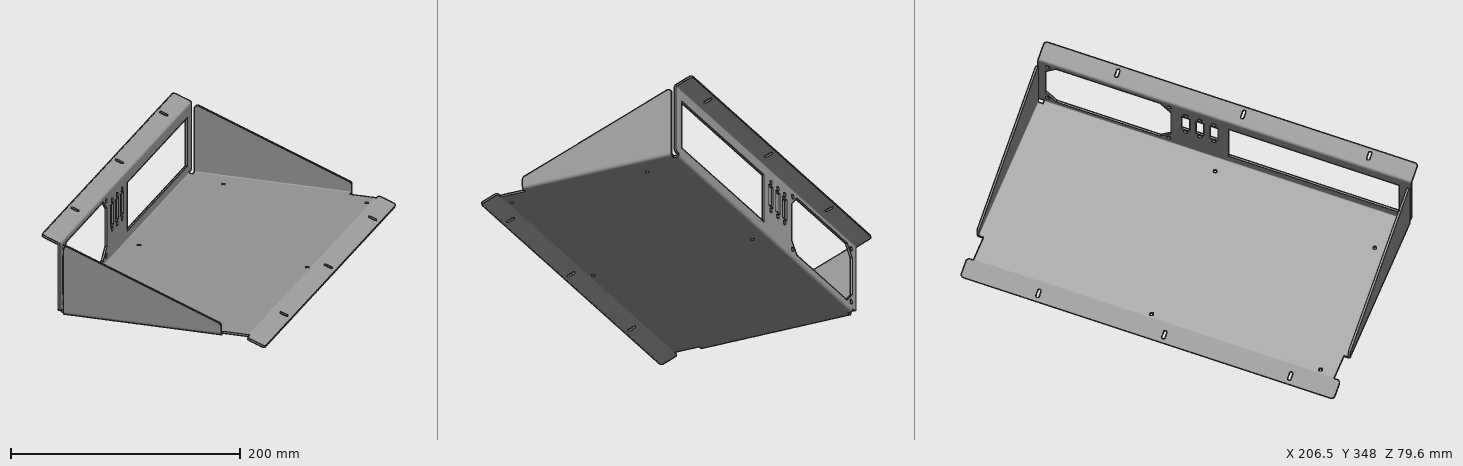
import cadquery as cq
import math

thickness = 2.0
bend_inner_radius = 0.85
bend_outer_radius = bend_inner_radius + thickness

width = 348.0
slope_angle = 20.7
slope_length = 220.0
rear_flange_length = 18.0
base_length = 174.0
corner_radius = 3.0

side_setback = 6.0
side_overlap = 1.0
side_start_x = 5.0
side_end_x = 150.0
side_corner_radius = 3.0

slot_count = 3
slot_length = 7.7
slot_width = 3.0
slot_pitch = 117.3
slot_center_y = 13.5
front_slot_x = -8.6
rear_slot_x = 183.9

board_hole_diameter = 3.2
board_pitch_x = 154.94
board_pitch_y = 157.48
board_hole_offset_x = 22.86
board_rear_x = 170.3
board_low_y = -3.5

bay_width = 159.0
bay_height = 45.5
bay_center_y = 83.3
bay_center_z = 33.4

connector_count = 3
connector_width = 7.6
connector_height = 20.1
connector_pitch = 13.2
connector_middle_y = -23.0
connector_center_z = 41.4
connector_screw_spacing = 27.0
connector_screw_diameter = 4.0

supply_width = 117.0
supply_height = 55.5
supply_corner_cut = 10.0
supply_center_y = -108.3
supply_center_z = 34.4
supply_screw_spacing_y = 113.0
supply_screw_spacing_z = 51.5
supply_screw_diameter = 4.0

half_width = width / 2
base_half_width = half_width - side_setback
slope = math.radians(slope_angle)
downhill = (math.cos(slope), -math.sin(slope))
slope_normal = (math.sin(slope), math.cos(slope))


def slope_z(x):
    """Height of the upper face of the sloping flange plane at x."""
    return thickness - (x - base_length) * math.tan(slope)


def lowered(point):
    """The point on a flange's lower face opposite a point on its upper face."""
    return (point[0] - thickness * slope_normal[0], point[1] - thickness * slope_normal[1])


def along_y(outline):
    """Extrude a closed XZ outline over the whole width."""
    return cq.Workplane("XZ").polyline(outline).close().extrude(half_width, both=True)


def bend(sheet, inner_corner, outer_corner):
    """Round both corners of one fold running along Y."""
    for corner, radius in ((inner_corner, bend_inner_radius), (outer_corner, bend_outer_radius)):
        point = (corner[0], 0, corner[1])
        sheet = sheet.edges("|Y").edges(cq.selectors.NearestToPointSelector(point)).fillet(radius)
    return sheet


def folded_sheet():
    """Front flange, front panel, base and rear flange, folded from one strip."""
    rear_tip = (
        base_length + rear_flange_length * downhill[0],
        thickness + rear_flange_length * downhill[1],
    )
    front_tip = (
        rear_tip[0] - slope_length * downhill[0],
        rear_tip[1] - slope_length * downhill[1],
    )
    drop = thickness / math.cos(slope)
    front_fold_outer = (thickness, slope_z(thickness))
    front_fold_inner = (0, slope_z(0) - drop)
    rear_fold_outer = (base_length, thickness)
    rear_fold_inner = (base_length - thickness * math.tan(slope / 2), 0)
    base_fold_outer = (0, 0)
    base_fold_inner = (thickness, thickness)
    sheet = along_y([
        front_tip,
        front_fold_outer,
        base_fold_inner,
        rear_fold_outer,
        rear_tip,
        lowered(rear_tip),
        rear_fold_inner,
        base_fold_outer,
        front_fold_inner,
        lowered(front_tip),
    ])
    sheet = bend(sheet, front_fold_inner, front_fold_outer)
    sheet = bend(sheet, base_fold_inner, base_fold_outer)
    return bend(sheet, rear_fold_inner, rear_fold_outer)


def on_outer_side(edge):
    """Whether an edge lies on one of the two full-width sides."""
    return math.isclose(abs(edge.Center().y), half_width)


def trim_base_sides(sheet):
    """Narrow the base between its two folds and round the free corners."""
    fold_reach = bend_outer_radius * math.tan(slope / 2)
    upper_end = (base_length + fold_reach * downhill[0], thickness + fold_reach * downhill[1])
    lower_end = lowered(upper_end)
    notch = along_y([
        (0, -thickness),
        (0, bend_outer_radius),
        (upper_end[0], bend_outer_radius),
        upper_end,
        lower_end,
        (lower_end[0], -thickness),
    ])
    kept = cq.Workplane("XY").box(2 * slope_length, 2 * base_half_width, 2 * slope_length)
    sheet = sheet.cut(notch.cut(kept))
    across_flange = cq.Vector(slope_normal[0], 0, slope_normal[1])
    flange_edges = sheet.edges(cq.selectors.ParallelDirSelector(across_flange))
    sheet = flange_edges.filter(on_outer_side).fillet(corner_radius)
    panel_edges = sheet.edges("|X").edges(cq.selectors.BoxSelector(
        (-thickness, -width, 0), (2 * thickness, width, 2 * bend_outer_radius)
    ))
    return panel_edges.filter(on_outer_side).fillet(corner_radius)


def side_wall():
    """Wall at +Y: a strip of base, a fold and a sloping-topped upright."""
    inner_y = half_width - thickness
    strip_y = base_half_width - side_overlap
    section = (
        cq.Workplane("YZ", origin=(side_start_x, 0, 0))
        .moveTo(strip_y, 0)
        .lineTo(half_width - bend_outer_radius, 0)
        .radiusArc((half_width, bend_outer_radius), -bend_outer_radius)
        .lineTo(half_width, slope_z(0))
        .lineTo(inner_y, slope_z(0))
        .lineTo(inner_y, bend_outer_radius)
        .radiusArc((inner_y - bend_inner_radius, thickness), bend_inner_radius)
        .lineTo(strip_y, thickness)
        .close()
        .extrude(side_end_x - side_start_x)
    )
    outline = along_y([
        (side_start_x, 0),
        (side_end_x, 0),
        (side_end_x, slope_z(side_end_x)),
        (side_start_x, slope_z(side_start_x)),
    ])
    outline = outline.edges("|Y and >Z").fillet(side_corner_radius)
    rear_top = (side_end_x, 0, slope_z(side_end_x))
    outline = outline.edges("|Y").edges(cq.selectors.NearestToPointSelector(rear_top))
    return section.intersect(outline.fillet(side_corner_radius))


def flange_slots():
    """A row of slots through each flange, square to the sloping plane."""
    cutters = cq.Workplane("XY")
    for x in (front_slot_x, rear_slot_x):
        plane = cq.Plane(
            origin=(x, slot_center_y, slope_z(x)),
            xDir=(downhill[0], 0, downhill[1]),
            normal=(slope_normal[0], 0, slope_normal[1]),
        )
        slots = cq.Workplane(plane).rarray(1, slot_pitch, 1, slot_count)
        slots = slots.slot2D(slot_length, slot_width)
        cutters = cutters.add(slots.extrude(2 * thickness, both=True))
    return cutters.combine()


def board_holes():
    """Four circuit-board holes through the base."""
    front_x = board_rear_x - board_pitch_x
    high_y = board_low_y + board_pitch_y
    centers = [
        (front_x, board_low_y),
        (board_rear_x, board_low_y),
        (board_rear_x, high_y),
        (front_x + board_hole_offset_x, high_y),
    ]
    holes = cq.Workplane("XY").pushPoints(centers).circle(board_hole_diameter / 2)
    return holes.extrude(2 * thickness, both=True)


def panel_cutter(center_y, center_z):
    """Workplane on the front panel's outer face: local x is Y, local y is Z."""
    return cq.Workplane("YZ", origin=(0, center_y, center_z))


def bay_opening():
    """Large rectangular opening."""
    return panel_cutter(bay_center_y, bay_center_z).rect(bay_width, bay_height).extrude(thickness)


def connector_openings():
    """Row of upright openings, each with a screw hole above and below."""
    row = panel_cutter(connector_middle_y, connector_center_z)
    windows = row.rarray(connector_pitch, 1, connector_count, 1)
    windows = windows.rect(connector_width, connector_height).extrude(thickness)
    screws = row.rarray(connector_pitch, connector_screw_spacing, connector_count, 2)
    return windows.union(screws.circle(connector_screw_diameter / 2).extrude(thickness))


def supply_opening():
    """Power-supply opening with cut-off corners and a screw hole at each."""
    center = panel_cutter(supply_center_y, supply_center_z)
    window = center.rect(supply_width, supply_height).extrude(thickness)
    window = window.edges("|X").chamfer(supply_corner_cut)
    screws = center.rarray(supply_screw_spacing_y, supply_screw_spacing_z, 2, 2)
    return window.union(screws.circle(supply_screw_diameter / 2).extrude(thickness))


body = trim_base_sides(folded_sheet())
body = body.union(side_wall()).union(side_wall().mirror("XZ"))
for cutter in (flange_slots(), board_holes(), bay_opening(), connector_openings(), supply_opening()):
    body = body.cut(cutter)

result = body